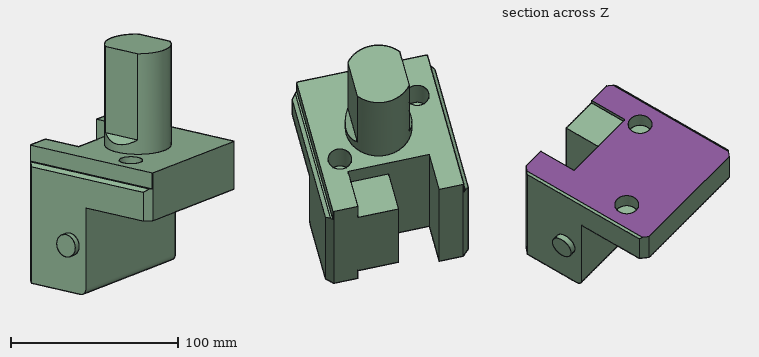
import cadquery as cq
import math

base_length = 92.5
base_width = 88.0
base_height = 85.0
plate_thickness = 30.0
leg_length = 45.0
leg_corner_radius = 4.0
corner_chamfer = 4.2
middle_y = base_width / 2

step_depth = 10.0
step_width = 3.7
bevel_width = 2.5
bevel_height = 2.0

slot_length = 25.0
slot_width = 50.0
slot_back_y = middle_y + slot_width / 2
block_width = slot_width / 2
block_height = 63.0
block_bottom = 9.0

post_diameter = 40.0
post_height = 63.0
post_x = 50.5
flats_distance = 32.0
collar_height = 5.0
flat_depth = (post_diameter - flats_distance) / 2

hole_diameter = 14.0
hole_depth = 20.0
hole_circle_radius = 32.0
hole_angles = (120, 300)

pin_diameter = 14.0
pin_length = 3.85
pin_x = 33.0
pin_z = 30.0


def make_base():
    """L profile extruded along +Y, with all four vertical outer corners chamfered."""
    plate_bottom = base_height - plate_thickness
    profile = [
        (0, 0),
        (leg_length, 0),
        (leg_length, plate_bottom),
        (base_length, plate_bottom),
        (base_length, base_height),
        (0, base_height),
    ]
    bracket = cq.Workplane("XZ").polyline(profile).close().extrude(-base_width)
    lower_corner = cq.selectors.NearestToPointSelector((leg_length, middle_y, 0))
    bracket = bracket.edges(lower_corner).fillet(leg_corner_radius)
    outline = (
        cq.Workplane("XY")
        .rect(base_length, base_width, centered=False)
        .extrude(base_height)
        .edges("|Z")
        .chamfer(corner_chamfer)
    )
    return bracket.intersect(outline)


def make_edge_step():
    """Material removed along the upper front edge: a step and the bevel outside it."""
    step_z = base_height - step_depth
    profile = [
        (0, base_height),
        (step_width, base_height),
        (step_width, step_z),
        (bevel_width, step_z),
        (0, step_z - bevel_height),
    ]
    return cq.Workplane("YZ").polyline(profile).close().extrude(base_length)


def make_slot():
    return (
        cq.Workplane("XY")
        .box(slot_length, slot_width, base_height, centered=False)
        .translate((0, slot_back_y - slot_width, 0))
    )


def make_block():
    return (
        cq.Workplane("XY")
        .box(slot_length, block_width, block_height, centered=False)
        .translate((0, slot_back_y - block_width, block_bottom))
    )


def make_post():
    """Round post; each flat runs out to the full diameter on a 45 degree slope."""
    radius = post_diameter / 2
    half_flats = flats_distance / 2
    slope_top = collar_height + flat_depth
    side_profile = [
        (-radius, 0),
        (radius, 0),
        (radius, collar_height),
        (half_flats, slope_top),
        (half_flats, post_height),
        (-half_flats, post_height),
        (-half_flats, slope_top),
        (-radius, collar_height),
    ]
    side_shape = cq.Workplane("YZ").polyline(side_profile).close().extrude(radius, both=True)
    post = cq.Workplane("XY").circle(radius).extrude(post_height).intersect(side_shape)
    return post.translate((post_x, middle_y, base_height))


def make_plate_holes():
    centers = [
        (
            post_x + hole_circle_radius * math.cos(math.radians(angle)),
            middle_y + hole_circle_radius * math.sin(math.radians(angle)),
        )
        for angle in hole_angles
    ]
    plane = cq.Workplane("XY").workplane(offset=base_height)
    return plane.pushPoints(centers).circle(hole_diameter / 2).extrude(-hole_depth)


def make_pin():
    return cq.Workplane("XZ").center(pin_x, pin_z).circle(pin_diameter / 2).extrude(pin_length)


front_step = make_edge_step()
back_step = front_step.mirror("XZ", (0, middle_y, 0))

result = (
    make_base()
    .cut(front_step)
    .cut(back_step)
    .cut(make_slot())
    .cut(make_plate_holes())
    .union(make_block())
    .union(make_post())
    .union(make_pin())
)